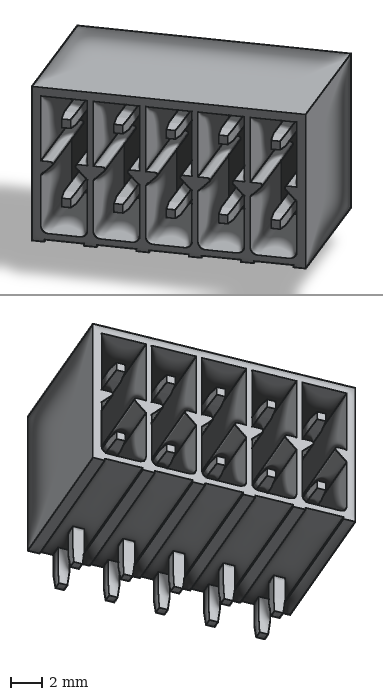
import cadquery as cq

POSITIONS = 5
PITCH = 3.5
BODY_WIDTH = 18.3
BODY_DEPTH = 11.0
BODY_HEIGHT = 10.7

CAVITY_WIDTH = 3.1
CAVITY_DEPTH = 7.5
ROOF_THICKNESS = 0.6
FLOOR_LEVEL = 0.6
FLOOR_FILLET = 0.5

LEDGE_DROP = 5.1
LEDGE_REACH = 1.0
LEDGE_FILLET = 0.15

FOOT_HEIGHT = 0.15
RECESS_WIDTH = 2.65

PIN_SIZE = 0.8
TIP_SIZE = 0.6
TIP_LENGTH = 1.0
UPPER_PIN_DROP = 2.55
UPPER_PIN_Z = BODY_HEIGHT - UPPER_PIN_DROP
CONTACT_SPACING = 5.5
LOWER_PIN_Z = UPPER_PIN_Z - CONTACT_SPACING
PIN_SETBACK = 0.5
TAIL_LENGTH = 2.6
BACK_ROW_INSET = 0.5
BACK_ROW_Y = BODY_DEPTH - BACK_ROW_INSET
TAIL_ROW_SPACING = 2.5
FRONT_ROW_Y = BACK_ROW_Y - TAIL_ROW_SPACING

COLUMN_X = [(i - (POSITIONS - 1) / 2) * PITCH for i in range(POSITIONS)]


def make_housing():
    """Plain block with its front face on Y = 0 and its feet on Z = 0."""
    return cq.Workplane("XY").box(BODY_WIDTH, BODY_DEPTH, BODY_HEIGHT, centered=(True, False, False))


def edges_at_height(z, half_width=CAVITY_WIDTH / 2):
    """Selector for cavity edges at height z, up to half_width either side of the centre."""
    margin = 0.01
    reach = half_width + margin
    return cq.selectors.BoxSelector((-reach, -margin, z - margin), (reach, CAVITY_DEPTH + margin, z + margin))


def make_cavity(x):
    """Cavity with two round-tipped ledges, square upper corners and rounded floor corners."""
    half = CAVITY_WIDTH / 2
    neck = half - LEDGE_REACH
    roof_z = BODY_HEIGHT - ROOF_THICKNESS
    ledge_z = BODY_HEIGHT - LEDGE_DROP
    slope_z = ledge_z - LEDGE_REACH
    outline = [
        (-half, FLOOR_LEVEL),
        (half, FLOOR_LEVEL),
        (half, slope_z),
        (neck, ledge_z),
        (half, ledge_z),
        (half, roof_z),
        (-half, roof_z),
        (-half, ledge_z),
        (-neck, ledge_z),
        (-half, slope_z),
    ]
    cavity = cq.Workplane("XZ").polyline(outline).close().extrude(-CAVITY_DEPTH)
    floor_corners = edges_at_height(FLOOR_LEVEL)
    cavity = cavity.edges("|Y").edges(floor_corners).fillet(FLOOR_FILLET)
    ledge_tips = edges_at_height(ledge_z, neck)
    cavity = cavity.edges("|Y").edges(ledge_tips).fillet(LEDGE_FILLET)
    return cavity.translate((x, 0, 0))


def make_foot_recess(x):
    """Shallow channel under one position, running the full depth."""
    recess = cq.Workplane("XY").box(RECESS_WIDTH, BODY_DEPTH, FOOT_HEIGHT, centered=(True, False, False))
    return recess.translate((x, 0, 0))


def make_bar(start, direction, length):
    """Square bar whose last TIP_LENGTH tapers to TIP_SIZE."""
    plane = cq.Plane(origin=start, xDir=(1, 0, 0), normal=direction)
    bar = cq.Workplane(plane).rect(PIN_SIZE, PIN_SIZE).extrude(length - TIP_LENGTH)
    tip = (
        cq.Workplane(plane)
        .workplane(offset=length - TIP_LENGTH)
        .rect(PIN_SIZE, PIN_SIZE)
        .workplane(offset=TIP_LENGTH)
        .rect(TIP_SIZE, TIP_SIZE)
        .loft(ruled=True)
    )
    return bar.union(tip)


def make_contact(x, z, tail_y):
    """Right-angle contact: a mating pin toward the front and a tail pointing down."""
    mating_pin = make_bar((x, tail_y, z), (0, -1, 0), tail_y - PIN_SETBACK)
    tail = make_bar((x, tail_y, z), (0, 0, -1), z + TAIL_LENGTH)
    return mating_pin.union(tail)


result = make_housing()
for column_x in COLUMN_X:
    result = result.cut(make_cavity(column_x)).cut(make_foot_recess(column_x))
for column_x in COLUMN_X:
    result = result.union(make_contact(column_x, UPPER_PIN_Z, BACK_ROW_Y))
    result = result.union(make_contact(column_x, LOWER_PIN_Z, FRONT_ROW_Y))